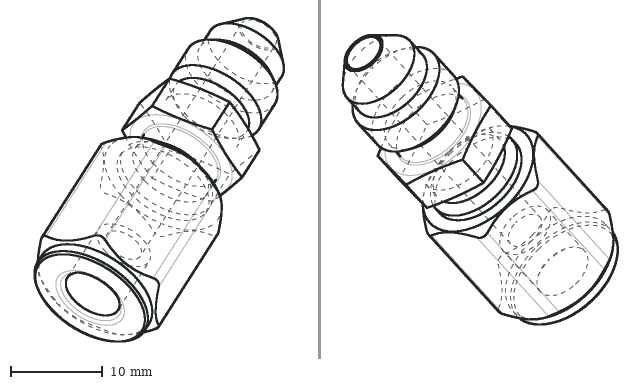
import cadquery as cq
import math

LENGTH = 40.9
BORE_RADIUS = 2.15

NUT_FLATS = 14.35
NUT_CORNER_RADIUS = 1.35
NUT_START = 1.3
NUT_END = 17.7
NUT_END_FACE_RADIUS = 7.1
COLLAR_RADIUS = 6.9
COLLAR_CHAMFER = 0.25

ENTRY_RADIUS = 4.17
MOUTH_RADIUS = 3.7
SOCKET_RADIUS = 3.27
SOCKET_DEPTH = 8.18

HEX_CORNERS = 14.6
HEX_START = 22.1
HEX_END = 26.82
HEX_FACE_RADIUS = 6.2
HEX_CHAMFER_HEIGHT = 0.25

NECK_RADIUS = 4.62
SHOULDER_RADIUS = 5.6
SHOULDER_CHAMFER = SHOULDER_RADIUS - NECK_RADIUS
REAR_SHOULDER_END = 19.55
FRONT_SHOULDER_START = 29.4
FRONT_SHOULDER_END = 35.33
TIP_RADIUS = 2.45
TIP_CONE_START = 37.85
ROOT_FILLET = 0.2


def revolve_profile(points):
    """Revolve a closed outline of (radius, Y) points about the Y axis."""
    return cq.Workplane("XY").polyline(points).close().revolve(360, (0, 0, 0), (0, 1, 0))


def hex_prism(across_corners, start, end, turn):
    """Hexagonal prism between two Y stations, turned about the Y axis."""
    return (
        cq.Workplane("XZ", origin=(0, start, 0))
        .polygon(6, across_corners)
        .extrude(start - end)
        .rotate((0, 0, 0), (0, 1, 0), turn)
    )


def make_nut():
    across_corners = NUT_FLATS / math.sqrt(3) * 2
    outer_radius = across_corners / 2
    prism = hex_prism(across_corners, NUT_START, NUT_END, 30)
    prism = prism.edges("|Y").fillet(NUT_CORNER_RADIUS)

    envelope = revolve_profile([
        (0, NUT_START),
        (COLLAR_RADIUS, NUT_START),
        (outer_radius, NUT_START + outer_radius - COLLAR_RADIUS),
        (outer_radius, NUT_END - outer_radius + NUT_END_FACE_RADIUS),
        (NUT_END_FACE_RADIUS, NUT_END),
        (0, NUT_END),
    ])
    collar = cq.Workplane("XZ").circle(COLLAR_RADIUS).extrude(-NUT_START)
    collar = collar.faces("<Y").edges().chamfer(COLLAR_CHAMFER)
    return prism.intersect(envelope).union(collar)


def make_middle_hex():
    outer_radius = HEX_CORNERS / 2
    prism = hex_prism(HEX_CORNERS, HEX_START, HEX_END, 0)
    envelope = revolve_profile([
        (0, HEX_START),
        (HEX_FACE_RADIUS, HEX_START),
        (outer_radius, HEX_START + HEX_CHAMFER_HEIGHT),
        (outer_radius, HEX_END - HEX_CHAMFER_HEIGHT),
        (HEX_FACE_RADIUS, HEX_END),
        (0, HEX_END),
    ])
    return prism.intersect(envelope)


def make_round_body():
    root_radius = NECK_RADIUS + ROOT_FILLET
    outline = (
        cq.Workplane("XY")
        .moveTo(0, NUT_START)
        .lineTo(SHOULDER_RADIUS, NUT_START)
        .lineTo(SHOULDER_RADIUS, REAR_SHOULDER_END - SHOULDER_CHAMFER)
        .lineTo(NECK_RADIUS, REAR_SHOULDER_END)
        .lineTo(NECK_RADIUS, HEX_START - ROOT_FILLET)
        .radiusArc((root_radius, HEX_START), ROOT_FILLET)
        .lineTo(root_radius, HEX_END)
        .radiusArc((NECK_RADIUS, HEX_END + ROOT_FILLET), ROOT_FILLET)
        .lineTo(NECK_RADIUS, FRONT_SHOULDER_START)
        .lineTo(SHOULDER_RADIUS, FRONT_SHOULDER_START + SHOULDER_CHAMFER)
        .lineTo(SHOULDER_RADIUS, FRONT_SHOULDER_END - SHOULDER_CHAMFER)
        .lineTo(NECK_RADIUS, FRONT_SHOULDER_END)
        .lineTo(NECK_RADIUS, TIP_CONE_START)
        .lineTo(TIP_RADIUS, LENGTH)
        .lineTo(0, LENGTH)
        .close()
    )
    return outline.revolve(360, (0, 0, 0), (0, 1, 0))


def make_bore():
    cos_45 = math.sqrt(0.5)
    blend_radius = (ENTRY_RADIUS - MOUTH_RADIUS) / cos_45
    blend_depth = blend_radius * (1 - cos_45)
    cone_end = blend_depth + MOUTH_RADIUS - SOCKET_RADIUS
    outline = (
        cq.Workplane("XY")
        .lineTo(ENTRY_RADIUS, 0)
        .radiusArc((MOUTH_RADIUS, blend_depth), blend_radius)
        .lineTo(SOCKET_RADIUS, cone_end)
        .lineTo(SOCKET_RADIUS, SOCKET_DEPTH)
        .lineTo(BORE_RADIUS, SOCKET_DEPTH)
        .lineTo(BORE_RADIUS, LENGTH)
        .lineTo(0, LENGTH)
        .close()
    )
    return outline.revolve(360, (0, 0, 0), (0, 1, 0))


result = make_nut().union(make_round_body()).union(make_middle_hex()).cut(make_bore())